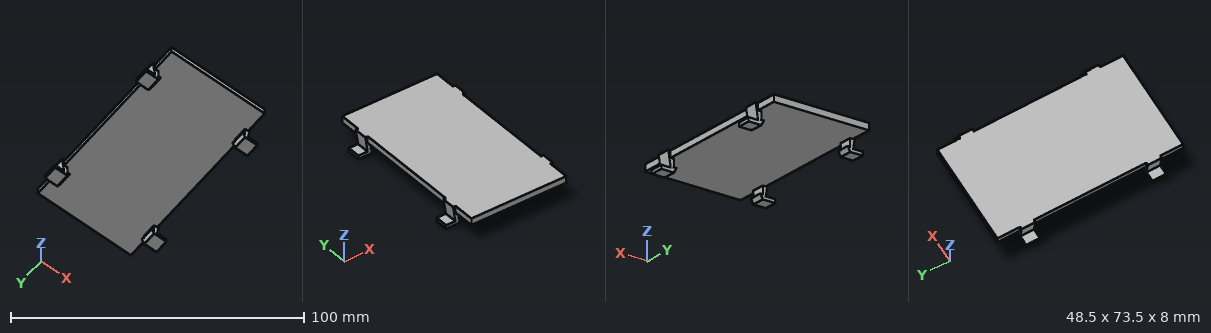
import cadquery as cq

plate_length = 73.5
plate_width = 40.6
plate_thickness = 2.9

overall_width = 48.5
overall_height = 8.0
clip_width = 5.5
clip_end_gap = 9.05
leg_top_x = 21.3
leg_inner_x = 18.9
barb_tip_x = 17.85
barb_height = 2.0
foot_thickness = 1.55

plate_edge_x = plate_width / 2
foot_end_x = overall_width / 2
clip_y = plate_length / 2 - clip_end_gap - clip_width / 2


def make_plate():
    """Flat rectangular plate with its top at the overall height."""
    return (
        cq.Workplane("XY")
        .workplane(offset=overall_height - plate_thickness)
        .rect(plate_width, plate_length)
        .extrude(plate_thickness)
    )


def make_clip(side, y):
    """Clip with a tapered leg, an inward barb and an outward foot; side is +1 or -1 along X."""
    profile = [
        (leg_top_x, overall_height),
        (plate_edge_x, foot_thickness),
        (foot_end_x, foot_thickness),
        (foot_end_x, 0),
        (leg_inner_x, 0),
        (barb_tip_x, barb_height),
        (leg_inner_x, barb_height),
        (leg_inner_x, overall_height),
    ]
    return (
        cq.Workplane("XZ", origin=(0, y, 0))
        .polyline([(side * x, z) for x, z in profile])
        .close()
        .extrude(clip_width / 2, both=True)
    )


cover = make_plate()
for side in (-1, 1):
    for y in (-clip_y, clip_y):
        cover = cover.union(make_clip(side, y))

result = cq.Compound.makeCompound([*cover.solids().vals()])